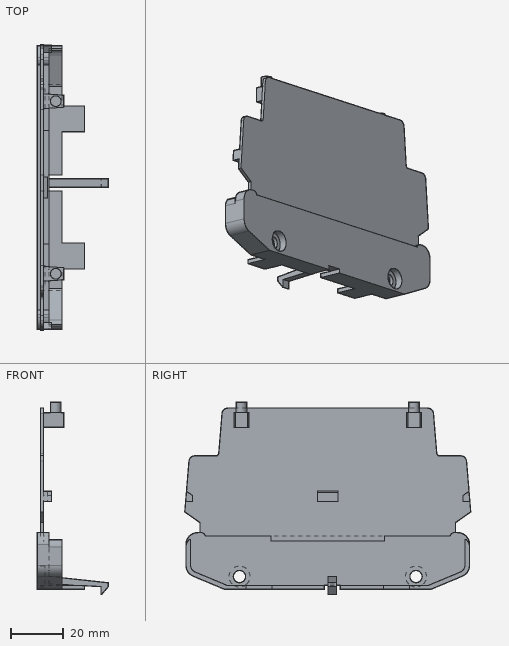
import cadquery as cq
import math


base_half = 54.25
base_thickness = 4.6
base_top = 20.45
ear_top = 21.8
ear_flat = 1.0
ear_inner_radius = 2.0
corner_radius = 4.6
bottom_half = 39.4
bevel_height = 6.2

rim_back = 9.5
wall = 1.8
floor = 1.6
rim_top = 19.2
rim_straight_top = 16.3
rim_lean = 1.2
rim_tip_height = 0.3

screw_y = 33.75
screw_z = 4.95
screw_diameter = 4.6
counterbore_diameter = 8.0
counterbore_depth = 3.0

recess_half = 21.7
recess_depth = 2.0

cover_front = 1.2
cover_back = 2.5
cover_width = 109.43
cover_half = cover_width / 2
cover_top = 69.4
cover_top_half = 40.3
step_z = 51.15
step_inner_half = 41.8
step_outer_half = 52.95
widest_z = 29.65
neck_half = 48.9
neck_z = 25.55
cover_radius = 2.3
step_inner_radius = 1.0

pin_y = 33.0
pin_x = 7.1
pin_diameter = 4.1
pin_top = 71.6
pad_back = 10.2
pad_bottom = 62.0
pad_top = 67.65
pad_root_width = 5.7
pad_tip_width = 4.6

lug_back = 5.55
lug_bottom = 33.6
lug_top = 37.6
lug_inner = 51.65

rib_half = 4.0
rib_back = 3.95
rib_slope = math.radians(20)

tab_y = 26.2
tab_width = 9.95
tab_back = 18.15

latch_y = 1.7
latch_width = 3.4
latch_back = 27.2
latch_root_top = 5.05
latch_root_bottom = 2.1
latch_tip_top = 2.6
latch_tip_bottom = 1.05
hook_front = 24.4
hook_bottom = -2.0
hook_flat = 0.2
notch_width = 6.0
notch_height = floor


def box(x_range, y_range, z_range):
    """Axis-aligned box from its limits along X, Y and Z."""
    (x0, x1), (y0, y1), (z0, z1) = x_range, y_range, z_range
    return cq.Workplane("XY").box(x1 - x0, y1 - y0, z1 - z0, centered=False).translate((x0, y0, z0))


def centred(middle, width):
    """Limits of a span from its middle and width."""
    return (middle - width / 2, middle + width / 2)


def at_depth(x):
    """Workplane at depth x with local axes Y and Z."""
    return cq.Workplane("YZ").workplane(offset=x)


def round_corner(solid, depth, corner, radius):
    """Round the edge along X that passes through the (y, z) corner at the given depth."""
    return solid.edges("|X").edges(cq.selectors.NearestToPointSelector((depth, *corner))).fillet(radius)


def both_sides(half):
    """Join a +Y half with its mirror image."""
    return half.union(half.mirror("XZ"))


def make_base():
    ear_inner = base_half - corner_radius - ear_flat
    arc_z = ear_top - ear_inner_radius
    foot_angle = math.asin((base_top - arc_z) / ear_inner_radius)
    arc_mid_angle = (foot_angle + math.pi / 2) / 2

    def on_arc(angle):
        return (ear_inner - ear_inner_radius * math.cos(angle), arc_z + ear_inner_radius * math.sin(angle))

    half = (
        at_depth(0)
        .moveTo(0, 0)
        .lineTo(0, base_top)
        .lineTo(*on_arc(foot_angle))
        .threePointArc(on_arc(arc_mid_angle), (ear_inner, ear_top))
        .lineTo(base_half, ear_top)
        .lineTo(base_half, bevel_height)
        .lineTo(bottom_half, 0)
        .close()
        .extrude(base_thickness)
    )
    for corner_z in (ear_top, bevel_height):
        half = round_corner(half, base_thickness / 2, (base_half, corner_z), corner_radius)
    base = both_sides(half)
    recess = box(
        (cover_back, base_thickness), (-recess_half, recess_half), (base_top - recess_depth, base_top)
    )
    return base.cut(recess)


def make_rim():
    bevel_slope = bevel_height / (base_half - bottom_half)
    bevel_rise = wall * math.hypot(1, bevel_slope)
    inner_half = base_half - wall
    inner_corner_z = bevel_height - wall * bevel_slope + bevel_rise
    inner_bottom_half = bottom_half - (bevel_rise - floor) / bevel_slope
    tip_y = base_half - rim_lean
    tip_foot_z = rim_top - rim_tip_height
    rise = tip_foot_z - rim_straight_top
    tip_radius = (rise**2 + rim_lean**2) / (2 * rim_lean)
    mid_angle = math.asin(rise / tip_radius) / 2
    arc_mid = (
        base_half - tip_radius * (1 - math.cos(mid_angle)),
        rim_straight_top + tip_radius * math.sin(mid_angle),
    )
    half = (
        at_depth(base_thickness)
        .moveTo(0, 0)
        .lineTo(bottom_half, 0)
        .lineTo(base_half, bevel_height)
        .lineTo(base_half, rim_straight_top)
        .threePointArc(arc_mid, (tip_y, tip_foot_z))
        .threePointArc(((tip_y + inner_half) / 2, rim_top), (inner_half, tip_foot_z))
        .lineTo(inner_half, inner_corner_z)
        .lineTo(inner_bottom_half, floor)
        .lineTo(0, floor)
        .close()
        .extrude(rim_back - base_thickness)
    )
    middle = (base_thickness + rim_back) / 2
    half = round_corner(half, middle, (inner_half, inner_corner_z), corner_radius - wall)
    half = round_corner(half, middle, (base_half, bevel_height), corner_radius)
    return both_sides(half)


def make_cover():
    half = (
        at_depth(cover_front)
        .polyline(
            [
                (0, base_top - recess_depth),
                (0, cover_top),
                (cover_top_half, cover_top),
                (step_inner_half, step_z),
                (step_outer_half, step_z),
                (cover_half, widest_z),
                (neck_half, neck_z),
                (neck_half, base_top - recess_depth),
            ]
        )
        .close()
        .extrude(cover_back - cover_front)
    )
    middle = (cover_front + cover_back) / 2
    half = round_corner(half, middle, (cover_top_half, cover_top), cover_radius)
    half = round_corner(half, middle, (step_outer_half, step_z), cover_radius)
    half = round_corner(half, middle, (step_inner_half, step_z), step_inner_radius)
    return both_sides(half)


def make_pins():
    pad = (
        cq.Workplane("XY")
        .workplane(offset=pad_bottom)
        .polyline(
            [
                (cover_back, pin_y - pad_root_width / 2),
                (pad_back, pin_y - pad_tip_width / 2),
                (pad_back, pin_y + pad_tip_width / 2),
                (cover_back, pin_y + pad_root_width / 2),
            ]
        )
        .close()
        .extrude(pad_top - pad_bottom)
    )
    pin = (
        cq.Workplane("XY")
        .workplane(offset=pad_top)
        .center(pin_x, pin_y)
        .circle(pin_diameter / 2)
        .extrude(pin_top - pad_top)
    )
    return both_sides(pad.union(pin))


def make_lugs():
    """Lugs flush with the cover's slanted sides, their tops sloping parallel to the edge above the neck."""
    side_slope = (cover_half - step_outer_half) / (step_z - widest_z)
    neck_slope = (widest_z - neck_z) / (cover_half - neck_half)
    outer_bottom = cover_half - side_slope * (lug_bottom - widest_z)
    outer_top = cover_half - side_slope * (lug_top - widest_z)
    inner_top_z = lug_top - neck_slope * (outer_top - lug_inner)
    lug = (
        at_depth(cover_back)
        .polyline(
            [
                (lug_inner, lug_bottom),
                (outer_bottom, lug_bottom),
                (outer_top, lug_top),
                (lug_inner, inner_top_z),
            ]
        )
        .close()
        .extrude(lug_back - cover_back)
    )
    return both_sides(lug)


def make_rib():
    """Central rib level with the lugs, its top sloping down away from the cover."""
    tip_z = lug_top - (rib_back - cover_back) * math.tan(rib_slope)
    return (
        cq.Workplane("XZ", origin=(0, rib_half, 0))
        .polyline([(cover_back, lug_bottom), (cover_back, lug_top), (rib_back, tip_z), (rib_back, lug_bottom)])
        .close()
        .extrude(2 * rib_half)
    )


def make_tabs():
    return both_sides(box((rim_back, tab_back), centred(tab_y, tab_width), (0, floor)))


def make_latch():
    hook_tip = hook_front + hook_flat
    return (
        cq.Workplane("XZ", origin=(0, latch_y + latch_width / 2, 0))
        .polyline(
            [
                (base_thickness, latch_root_bottom),
                (base_thickness, latch_root_top),
                (latch_back, latch_tip_top),
                (latch_back, latch_tip_bottom),
                (hook_tip, hook_bottom),
                (hook_front, hook_bottom),
                (hook_front, latch_tip_bottom),
            ]
        )
        .close()
        .extrude(latch_width)
    )


def make_screw_holes():
    axis = at_depth(0).center(screw_y, screw_z)
    bore = axis.circle(screw_diameter / 2).extrude(base_thickness)
    counterbore = axis.circle(counterbore_diameter / 2).extrude(counterbore_depth)
    return both_sides(bore.union(counterbore))


def make_notch():
    """Clearance under the latch through the base and the rim floor."""
    return box((0, rim_back), centred(latch_y, notch_width), (0, notch_height))


result = make_base().union(make_rim()).cut(make_notch()).cut(make_screw_holes())
for feature in (make_cover(), make_pins(), make_lugs(), make_rib(), make_tabs(), make_latch()):
    result = result.union(feature)